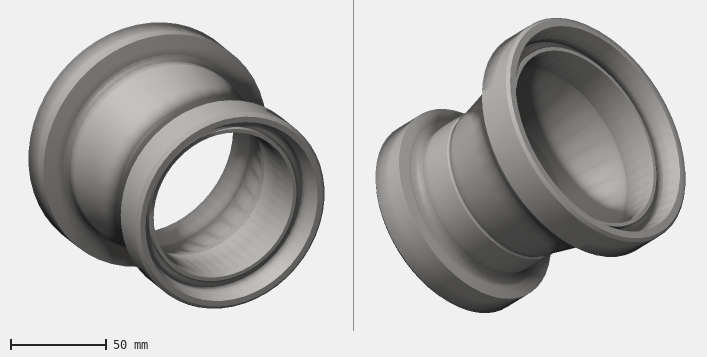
import cadquery as cq
import math

total_length = 113.5
reducer_start = 30.4
reducer_end = 68.1

large_bore_radius = 100.0 / 2
large_neck_radius = 104.0 / 2
small_bore_radius = 81.0 / 2
small_pipe_radius = 85.0 / 2
small_neck_radius = 87.0 / 2

large_flange_radius = 130.0 / 2
small_flange_radius = 110.0 / 2
flange_width = 19.9
back_slope = math.radians(10)

large_seat_radius = 113.8 / 2
small_seat_radius = 94.8 / 2
mouth_flare = 2.6
mouth_depth = 10.0
seat_depth = 14.0


def end_fitting(length, flange_radius, neck_radius, bore_radius, seat_radius,
                lip_radius, rim_chamfer, root_fillet, neck_chamfer):
    """Flanged fitting with its end face at X = 0 and its neck pointing to +X."""
    flange_root = flange_width + (flange_radius - neck_radius) * math.tan(back_slope)
    profile = [
        (0, seat_radius + mouth_flare),
        (0, flange_radius - rim_chamfer),
        (rim_chamfer, flange_radius),
        (flange_width, flange_radius),
        (flange_root, neck_radius),
        (length - neck_chamfer, neck_radius),
    ]
    if neck_chamfer > 0:
        profile.append((length, neck_radius - neck_chamfer))
    profile += [
        (length, bore_radius),
        (mouth_depth, bore_radius),
        (mouth_depth, lip_radius),
        (seat_depth, lip_radius),
        (seat_depth, seat_radius),
        (mouth_depth, seat_radius),
    ]
    body = cq.Workplane("XY").polyline(profile).close().revolve(360, (0, 0, 0), (1, 0, 0))
    root_zone = cq.selectors.BoxSelector(
        (flange_root - 0.1, -flange_radius, -flange_radius),
        (flange_root + 0.1, flange_radius, flange_radius),
        boundingbox=True,
    )
    return body.edges(root_zone).fillet(root_fillet)


def conical_reducer():
    """Tapered tube between the two end fittings."""
    profile = [
        (reducer_start, large_bore_radius),
        (reducer_start, large_neck_radius),
        (reducer_end, small_pipe_radius),
        (reducer_end, small_bore_radius),
    ]
    return cq.Workplane("XY").polyline(profile).close().revolve(360, (0, 0, 0), (1, 0, 0))


large_fitting = end_fitting(
    length=reducer_start,
    flange_radius=large_flange_radius,
    neck_radius=large_neck_radius,
    bore_radius=large_bore_radius,
    seat_radius=large_seat_radius,
    lip_radius=large_neck_radius,
    rim_chamfer=1.5,
    root_fillet=3.0,
    neck_chamfer=0,
)

reducer = conical_reducer()

small_fitting = end_fitting(
    length=total_length - reducer_end,
    flange_radius=small_flange_radius,
    neck_radius=small_neck_radius,
    bore_radius=small_bore_radius,
    seat_radius=small_seat_radius,
    lip_radius=small_pipe_radius,
    rim_chamfer=2.0,
    root_fillet=5.0,
    neck_chamfer=small_neck_radius - small_pipe_radius,
).rotate((0, 0, 0), (0, 0, 1), 180).translate((total_length, 0, 0))

result = cq.Compound.makeCompound([large_fitting.val(), reducer.val(), small_fitting.val()])